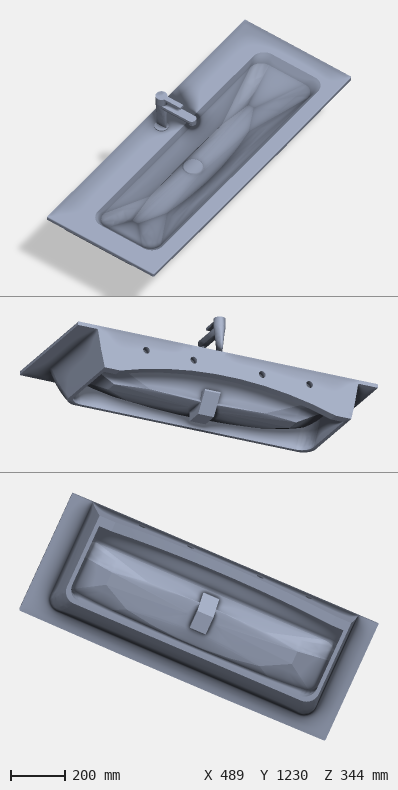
import cadquery as cq
import math

slab_length = 1230.0
slab_depth = 489.0
slab_thickness = 15.0
front_bow = 4.0
slab_corner_radius = 7.0
slab_edge_radius = 4.0

skirt_bottom = -164.0
skirt_middle = -89.0
skirt_wall = 15.0
cavity_draft = 12.0
neck_radius = 6.0
back_wall = 37.0
skirt_top_front = 432.0
skirt_middle_front = 397.0
skirt_bottom_front = 344.0
skirt_top_half = 534.0
skirt_middle_half = 521.0
skirt_bottom_half = 505.0
skirt_corner = 49.0

arch_half_width = 441.0
arch_top = -96.0

fixing_hole_radius = 14.0
fixing_hole_depth = 25.0
fixing_hole_z = -59.0
fixing_hole_offsets = (140.0, 335.0)

bowl_back = 134.0
bowl_front = 429.0
bowl_half = 531.0
bowl_corner = 49.0
ledge_depth = 31.0
ledge_inset = 27.0
ledge_back_inset = 7.0
floor_edge_depth = 113.0
bowl_depth = 127.0
bowl_shell = 14.0
floor_middle_back = 178.0
floor_middle_front = 307.0
floor_back_shoulder = (182.0, 221.0)
floor_front_shoulder = (282.0, 253.0)
floor_tip_back = 202.0
floor_tip_front = 226.0
floor_tip_half = 359.0
waste_flat = 42.0
waste_flat_corner = 39.0

waste_x = 214.0
cap_radius = 39.0
cap_thickness = 10.0
cap_recess = 6.0
cap_chamfer = 4.0
outlet_bottom = -178.0
outlet_slope_top = -106.0
outlet_back = 128.0
outlet_bottom_back = 182.0
outlet_front = 252.0
outlet_half_width = 32.0

tap_x = 70.0
tap_radius = 22.0
tap_foot_radius = 26.0
tap_foot_height = 5.0
column_foot_half_width = 2.0
column_top = 134.0
spout_top = 130.0
spout_side_bottom = 119.0
spout_bottom = 108.0
spout_half_width = 17.0
spout_bottom_half_width = 11.0
spout_shoulder_x = 209.0
spout_tip_x = 225.0
aerator_x = 209.0
aerator_radius = 12.0
aerator_bottom = 103.0
lever_top = 166.0
lever_thickness = 10.0
lever_half_width = 10.0
lever_tip_x = 162.0


def rounded_section(z, back, front, half, corner):
    """Rounded rectangle at height z, from X = back to front and Y = -half to half."""
    bend = corner * (1 - math.sqrt(0.5))
    return (
        cq.Workplane("XY", origin=(0, 0, z))
        .moveTo(front, -half + corner)
        .lineTo(front, half - corner)
        .threePointArc((front - bend, half - bend), (front - corner, half))
        .lineTo(back + corner, half)
        .threePointArc((back + bend, half - bend), (back, half - corner))
        .lineTo(back, -half + corner)
        .threePointArc((back + bend, -half + bend), (back + corner, -half))
        .lineTo(front - corner, -half)
        .threePointArc((front - bend, -half + bend), (front, -half + corner))
        .close()
        .wires()
        .val()
    )


def floor_section(z, grow):
    """Lens-like floor outline at height z, widest at the middle, enlarged outwards by grow."""
    front_x, front_y = floor_front_shoulder[0] + grow, floor_front_shoulder[1] + grow
    back_x, back_y = floor_back_shoulder[0] - grow, floor_back_shoulder[1] + grow
    tip_front, tip_back, tip_half = floor_tip_front + grow, floor_tip_back - grow, floor_tip_half + grow
    return (
        cq.Workplane("XY", origin=(0, 0, z))
        .moveTo(front_x, -front_y)
        .threePointArc((floor_middle_front + grow, 0), (front_x, front_y))
        .lineTo(tip_front, tip_half)
        .lineTo(tip_back, tip_half)
        .lineTo(back_x, back_y)
        .threePointArc((floor_middle_back - grow, 0), (back_x, -back_y))
        .lineTo(tip_back, -tip_half)
        .lineTo(tip_front, -tip_half)
        .close()
        .wires()
        .val()
    )


def bowl_form(grow):
    """Solid with the bowl's inner shape, enlarged sideways and downwards by grow."""
    sections = [
        rounded_section(0, bowl_back - grow, bowl_front + grow, bowl_half + grow, bowl_corner + grow),
        rounded_section(
            -ledge_depth - grow,
            bowl_back + ledge_back_inset - grow,
            bowl_front - ledge_inset + grow,
            bowl_half - ledge_inset + grow,
            bowl_corner + grow,
        ),
        floor_section(-floor_edge_depth - grow, grow),
        rounded_section(
            -bowl_depth - grow,
            waste_x - waste_flat - grow,
            waste_x + waste_flat + grow,
            waste_flat + grow,
            waste_flat_corner + grow,
        ),
    ]
    return cq.Workplane(cq.Solid.makeLoft(sections, True))


def skirt_section(z, back, front, half):
    """Outline of the skirt at height z: square at the wall, rounded at the front corners."""
    bend = skirt_corner * (1 - math.sqrt(0.5))
    return (
        cq.Workplane("XY", origin=(0, 0, z))
        .moveTo(back, -half)
        .lineTo(front - skirt_corner, -half)
        .threePointArc((front - bend, -half + bend), (front, -half + skirt_corner))
        .lineTo(front, half - skirt_corner)
        .threePointArc((front - bend, half - bend), (front - skirt_corner, half))
        .lineTo(back, half)
        .close()
        .wires()
        .val()
    )


def skirt_form():
    """Solid bounded by the outer skirt walls, with a curved slope at the front."""
    sections = [
        skirt_section(-slab_thickness, 0, skirt_top_front, skirt_top_half),
        skirt_section(skirt_middle, 0, skirt_middle_front, skirt_middle_half),
        skirt_section(skirt_bottom, 0, skirt_bottom_front, skirt_bottom_half),
    ]
    return cq.Workplane(cq.Solid.makeLoft(sections, False))


def cavity_form():
    """Hollow inside the skirt, open at the bottom."""
    front = skirt_bottom_front - skirt_wall
    sections = [
        skirt_section(-slab_thickness, back_wall, front - cavity_draft, skirt_top_half - skirt_wall),
        skirt_section(skirt_bottom, back_wall, front, skirt_bottom_half - skirt_wall),
    ]
    return cq.Workplane(cq.Solid.makeLoft(sections, True))


def make_slab():
    half = slab_length / 2
    corner_x = slab_depth - front_bow
    return (
        cq.Workplane("XY")
        .moveTo(0, -half)
        .lineTo(corner_x, -half)
        .threePointArc((slab_depth, 0), (corner_x, half))
        .lineTo(0, half)
        .close()
        .extrude(-slab_thickness)
        .edges("|Z")
        .edges(">X")
        .fillet(slab_corner_radius)
        .faces(">Z")
        .edges("not <X")
        .fillet(slab_edge_radius)
    )


def make_arch_cutter():
    """Segment of a circle pushed through the back wall, open at the skirt's lower edge."""
    return (
        cq.Workplane("YZ")
        .moveTo(-arch_half_width, skirt_bottom)
        .threePointArc((0, arch_top), (arch_half_width, skirt_bottom))
        .close()
        .extrude(back_wall)
    )


def make_fixing_holes():
    places = [(side * offset, fixing_hole_z) for offset in fixing_hole_offsets for side in (-1, 1)]
    return cq.Workplane("YZ").pushPoints(places).circle(fixing_hole_radius).extrude(fixing_hole_depth)


def make_outlet():
    """Block under the waste with an upright back that slopes forward towards its foot."""
    return (
        cq.Workplane("XZ")
        .moveTo(outlet_back, -floor_edge_depth + bowl_shell)
        .lineTo(outlet_back, outlet_slope_top)
        .lineTo(outlet_bottom_back, outlet_bottom)
        .lineTo(outlet_front, outlet_bottom)
        .lineTo(outlet_front, -floor_edge_depth + bowl_shell)
        .close()
        .extrude(outlet_half_width, both=True)
    )


def make_cap_recess():
    return cq.Workplane("XY", origin=(waste_x, 0, -bowl_depth)).circle(cap_radius).extrude(-cap_recess)


def make_blank():
    """Slab with the solid skirt body below it and a cove where they meet."""
    clearance = neck_radius / 2
    neck = cq.selectors.BoxSelector(
        (clearance, -skirt_top_half - clearance, -slab_thickness - clearance),
        (skirt_top_front + clearance, skirt_top_half + clearance, -slab_thickness + clearance),
    )
    return make_slab().union(skirt_form()).edges(neck).fillet(neck_radius)


def make_basin():
    underside = cavity_form().cut(bowl_form(bowl_shell))
    return (
        make_blank()
        .cut(underside)
        .union(make_outlet())
        .cut(make_arch_cutter())
        .cut(bowl_form(0))
        .cut(make_fixing_holes())
        .cut(make_cap_recess())
    )


def make_waste_cap():
    return (
        cq.Workplane("XY", origin=(waste_x, 0, -bowl_depth - cap_recess))
        .circle(cap_radius)
        .extrude(cap_thickness)
        .faces(">Z")
        .chamfer(cap_chamfer)
    )


def make_column():
    """Upright that is round at the top and narrows in Y to a slim blade at the foot."""
    return (
        cq.Workplane("XY", origin=(tap_x, 0, tap_foot_height))
        .ellipse(tap_radius, column_foot_half_width)
        .workplane(offset=column_top - tap_foot_height)
        .ellipse(tap_radius, tap_radius)
        .loft()
    )


def make_spout():
    """Straight spout with undercut sides and a rounded tip."""
    bar = (
        cq.Workplane("YZ", origin=(tap_x, 0, 0))
        .moveTo(-spout_half_width, spout_top)
        .lineTo(spout_half_width, spout_top)
        .lineTo(spout_half_width, spout_side_bottom)
        .lineTo(spout_bottom_half_width, spout_bottom)
        .lineTo(-spout_bottom_half_width, spout_bottom)
        .lineTo(-spout_half_width, spout_side_bottom)
        .close()
        .extrude(spout_tip_x - tap_x)
    )
    plan = (
        cq.Workplane("XY", origin=(0, 0, spout_bottom))
        .moveTo(tap_x, -spout_half_width)
        .lineTo(spout_shoulder_x, -spout_half_width)
        .threePointArc((spout_tip_x, 0), (spout_shoulder_x, spout_half_width))
        .lineTo(tap_x, spout_half_width)
        .close()
        .extrude(spout_top - spout_bottom)
    )
    return bar.intersect(plan)


def make_tap():
    foot = cq.Workplane("XY", origin=(tap_x, 0, 0)).circle(tap_foot_radius).extrude(tap_foot_height)
    aerator = (
        cq.Workplane("XY", origin=(aerator_x, 0, aerator_bottom))
        .circle(aerator_radius)
        .extrude(spout_side_bottom - aerator_bottom)
    )
    return foot.union(make_column()).union(make_spout()).union(aerator)


def make_lever():
    head = (
        cq.Workplane("XY", origin=(tap_x, 0, column_top))
        .circle(tap_radius)
        .extrude(lever_top - column_top)
    )
    handle = (
        cq.Workplane("XY", origin=(tap_x, -lever_half_width, lever_top - lever_thickness))
        .box(lever_tip_x - tap_x, 2 * lever_half_width, lever_thickness, centered=False)
    )
    return head.union(handle)


basin = make_basin()
waste_cap = make_waste_cap()
tap = make_tap()
lever = make_lever()

bodies = [basin, waste_cap, tap, lever]
result = cq.Compound.makeCompound([body.solids().val() for body in bodies])